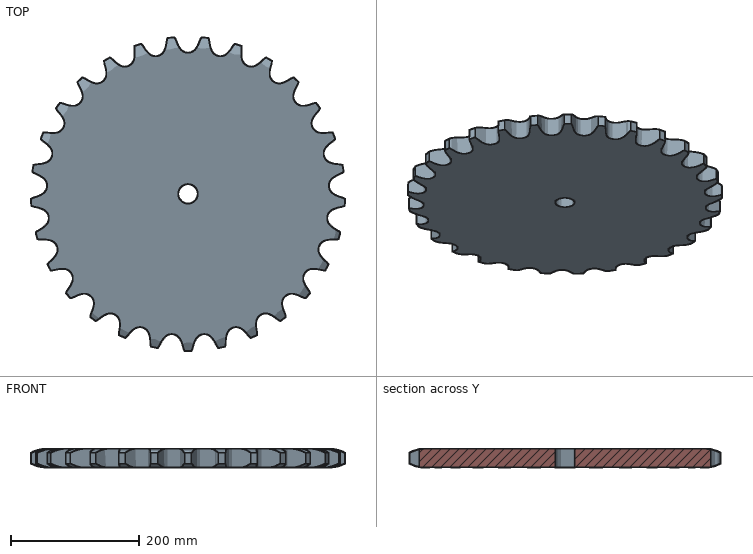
import cadquery as cq
import math

TEETH = 29
CHAIN_PITCH = 50.8
ROLLER_DIAMETER = 29.21
TIP_DIAMETER = 490.4
THICKNESS = 29.4
BORE_DIAMETER = 30.0
SEAT_ALLOWANCE = 0.0381
TIP_RELIEF = CHAIN_PITCH / 8
RELIEF_ARC_RADIUS = CHAIN_PITCH
GAP_MARGIN = 5.0

TOOTH_ANGLE = 2 * math.pi / TEETH
PITCH_RADIUS = CHAIN_PITCH / (2 * math.sin(TOOTH_ANGLE / 2))
TIP_RADIUS = TIP_DIAMETER / 2
RELIEF_WIDTH = math.sqrt(RELIEF_ARC_RADIUS**2 - (RELIEF_ARC_RADIUS - TIP_RELIEF)**2)
FACE_RADIUS = TIP_RADIUS - RELIEF_WIDTH

SEAT_ANGLE = math.radians(35 + 60 / TEETH)
WORKING_ANGLE = math.radians(18 - 56 / TEETH)
TOPPING_ANGLE = math.radians(17 - 64 / TEETH)
SEAT_RADIUS = 1.005 * ROLLER_DIAMETER / 2 + SEAT_ALLOWANCE
WORKING_RADIUS = 1.3025 * ROLLER_DIAMETER + SEAT_ALLOWANCE
WORKING_OFFSET = 0.8 * ROLLER_DIAMETER
TOPPING_OFFSET = 1.4 * ROLLER_DIAMETER
TOPPING_RADIUS = (
    WORKING_OFFSET * math.cos(WORKING_ANGLE)
    + TOPPING_OFFSET * math.cos(TOPPING_ANGLE)
    - WORKING_RADIUS
)
STRAIGHT_LENGTH = (
    TOPPING_OFFSET * math.sin(TOPPING_ANGLE)
    - WORKING_OFFSET * math.sin(WORKING_ANGLE)
)


def polar(center, radius, angle):
    """Point at a distance and direction from a center."""
    return (
        center[0] + radius * math.cos(angle),
        center[1] + radius * math.sin(angle),
    )


def mirrored(point):
    """Point reflected across the center line of a gap, which is the Y axis."""
    return (-point[0], point[1])


def gap_outline():
    """Closed outline of one tooth gap centered on +Y, reaching past the tip circle."""
    roller_center = (0, PITCH_RADIUS)
    seat_bottom = (0, PITCH_RADIUS - SEAT_RADIUS)
    seat_end = polar(roller_center, SEAT_RADIUS, -SEAT_ANGLE)

    working_center = polar(seat_end, WORKING_RADIUS, math.pi - SEAT_ANGLE)
    working_middle = polar(working_center, WORKING_RADIUS, WORKING_ANGLE / 2 - SEAT_ANGLE)
    normal = WORKING_ANGLE - SEAT_ANGLE
    working_end = polar(working_center, WORKING_RADIUS, normal)

    straight_end = polar(working_end, STRAIGHT_LENGTH, normal + math.pi / 2)
    topping_center = polar(straight_end, TOPPING_RADIUS, normal)
    outer_height = TIP_RADIUS + GAP_MARGIN
    rise = outer_height - topping_center[1]
    topping_start = normal + math.pi
    topping_stop = math.pi - math.asin(rise / TOPPING_RADIUS)
    topping_middle = polar(topping_center, TOPPING_RADIUS, (topping_start + topping_stop) / 2)
    topping_end = polar(topping_center, TOPPING_RADIUS, topping_stop)

    return (
        cq.Workplane("XY")
        .moveTo(*topping_end)
        .threePointArc(topping_middle, straight_end)
        .lineTo(*working_end)
        .threePointArc(working_middle, seat_end)
        .threePointArc(seat_bottom, mirrored(seat_end))
        .threePointArc(mirrored(working_middle), mirrored(working_end))
        .lineTo(*mirrored(straight_end))
        .threePointArc(mirrored(topping_middle), mirrored(topping_end))
        .close()
    )


def blank():
    """Disc with its rim relieved by an arc on both sides, turned about Z."""
    half_thickness = THICKNESS / 2
    tip_height = half_thickness - TIP_RELIEF
    arc_center = (FACE_RADIUS, half_thickness - RELIEF_ARC_RADIUS)
    tip_direction = math.asin((RELIEF_ARC_RADIUS - TIP_RELIEF) / RELIEF_ARC_RADIUS)
    arc_middle = polar(arc_center, RELIEF_ARC_RADIUS, (tip_direction + math.pi / 2) / 2)
    bore_radius = BORE_DIAMETER / 2
    return (
        cq.Workplane("XZ")
        .moveTo(bore_radius, -half_thickness)
        .lineTo(FACE_RADIUS, -half_thickness)
        .threePointArc((arc_middle[0], -arc_middle[1]), (TIP_RADIUS, -tip_height))
        .lineTo(TIP_RADIUS, tip_height)
        .threePointArc(arc_middle, (FACE_RADIUS, half_thickness))
        .lineTo(bore_radius, half_thickness)
        .close()
        .revolve(360, (0, 0, 0), (0, 1, 0))
    )


def tooth_gaps():
    """Cutting bodies of all tooth gaps; one gap is centered on +Y."""
    gap = gap_outline().extrude(THICKNESS, both=True).val()
    step = math.degrees(TOOTH_ANGLE)
    gaps = [gap.rotate((0, 0, 0), (0, 0, 1), i * step) for i in range(TEETH)]
    return cq.Workplane("XY").newObject([cq.Compound.makeCompound(gaps)])


sprocket = blank().cut(tooth_gaps())
result = cq.Workplane("XY").newObject([sprocket.solids().val()])